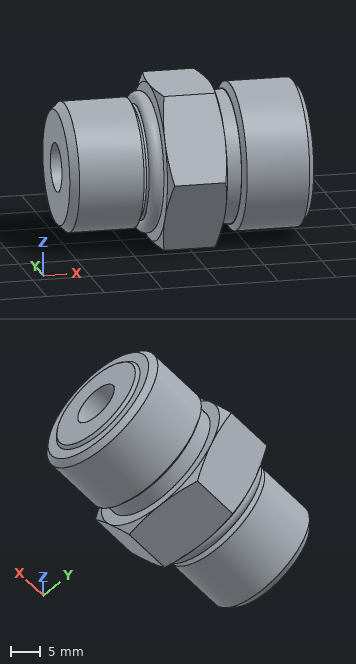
import cadquery as cq
import math


stud_chamfer_end = 1.4
stud_taper_start = 12.55
stud_end = 13.25
hex_start = 16.0
hex_end = 26.4
collar_start = 29.3
collar_full_start = 30.0
collar_full_end = 40.8
collar_end = 41.8
overall_length = 42.35

bore_dia = 8.35
groove_dia = 19.7
stud_face_dia = groove_dia
stud_dia = 22.25
neck_dia = 22.75
collar_dia = 25.4
collar_face_dia = 23.0
insert_dia = 19.05

across_flats = 27.0
across_corners = across_flats / math.cos(math.pi / 6)
hex_face_dia = across_flats
hex_corner_setback = 0.75

ring_section_dia = 2.5
ring_mean_dia = 21.55
ring_center = hex_start - ring_section_dia / 2

insert_start = collar_start
insert_nose_dia = insert_dia - 2 * (overall_length - collar_end)


def revolve_profile(stations):
    """Revolve (position, diameter) stations about the X axis into a solid."""
    outline = [(x, dia / 2) for x, dia in stations]
    first_x = outline[0][0]
    last_x = outline[-1][0]
    return (
        cq.Workplane("XY")
        .polyline([(first_x, 0), *outline, (last_x, 0)])
        .close()
        .revolve(360, (0, 0, 0), (1, 0, 0))
    )


def cylinder(dia, start, end):
    return revolve_profile([(start, dia), (end, dia)])


def make_o_ring():
    return (
        cq.Workplane("XY")
        .center(ring_center, ring_mean_dia / 2)
        .circle(ring_section_dia / 2)
        .revolve(360, (0, -ring_mean_dia / 2, 0), (1, -ring_mean_dia / 2, 0))
    )


def make_hexagon():
    """Hexagonal prism whose corners are turned down at both faces."""
    prism = (
        cq.Workplane("YZ")
        .workplane(offset=hex_start)
        .polygon(6, across_corners)
        .extrude(hex_end - hex_start)
    )
    turned_blank = revolve_profile([
        (hex_start, hex_face_dia),
        (hex_start + hex_corner_setback, across_corners),
        (hex_end - hex_corner_setback, across_corners),
        (hex_end, hex_face_dia),
    ])
    return prism.intersect(turned_blank)


def make_fitting():
    turned_body = revolve_profile([
        (0, stud_face_dia),
        (stud_chamfer_end, stud_dia),
        (stud_taper_start, stud_dia),
        (stud_end, groove_dia),
        (hex_start, groove_dia),
        (hex_start, neck_dia),
        (collar_start, neck_dia),
        (collar_start, collar_face_dia),
        (collar_full_start, collar_dia),
        (collar_full_end, collar_dia),
        (collar_end, collar_face_dia),
    ])
    fitting = turned_body.union(make_hexagon())
    fitting = fitting.cut(make_o_ring())
    fitting = fitting.cut(cylinder(insert_dia, insert_start, collar_end))
    return fitting.cut(cylinder(bore_dia, 0, insert_start))


def make_insert():
    """Sleeve filling the recess, with a tapered nose beyond the collar."""
    sleeve = revolve_profile([
        (insert_start, insert_dia),
        (collar_end, insert_dia),
        (overall_length, insert_nose_dia),
    ])
    return sleeve.cut(cylinder(bore_dia, insert_start, overall_length))


fitting = make_fitting()
o_ring = make_o_ring()
insert = make_insert()

result = cq.Compound.makeCompound([
    fitting.solids().val(),
    o_ring.val(),
    insert.solids().val(),
])